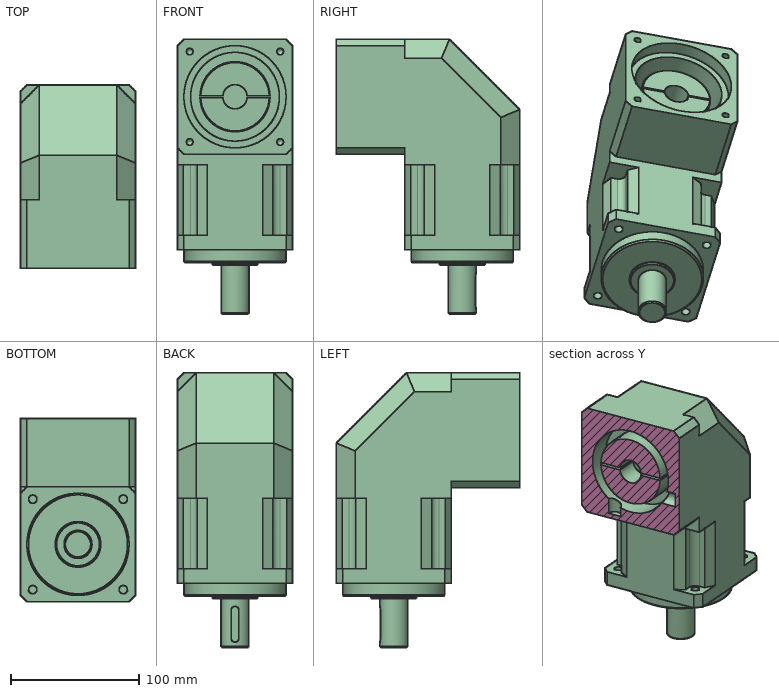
import cadquery as cq
import math


width = 90.0
half = width / 2
total_height = 214.8
shaft_drop = 50.3
housing_height = total_height - shaft_drop
back_slope = 55.0
edge_chamfer = 14.8
corner_chamfer = 5.2

bolt_spacing = 70.7

flange_thickness = 11.4
pocket_height = 55.2
pocket_reach = 23.5
pocket_wall = 15.5
pocket_lip = 4.7
pocket_radius = 5.5
pocket_overcut = 2.1
flange_hole_diameter = 6.5

pilot_diameter = 80.0
pilot_height = 10.3
pilot_chamfer = 1.3
seal_diameter = 35.7
seal_height = 2.0
seal_chamfer = 1.0
shaft_diameter = 22.0
shaft_chamfer = 1.0
key_width = 6.0
key_length = 28.0
key_depth = 3.5
key_end_gap = 4.3

input_length = 53.5
input_face_y = -half - input_length
input_axis_z = housing_height - half
register_diameter = 80.0
register_depth = 10.0
cavity_diameter = 69.4
cavity_depth = 43.0
hub_diameter = 54.8
hub_recess = 17.2
hub_chamfer = 0.6
hub_bore = 19.0
hub_slit = 1.5
tapped_hole_diameter = 5.2
tapped_hole_depth = 10.7
drill_point_angle = 118.0

access_diameter = 10.7
access_offset = 14.5
access_depth = 24.0
access_reach = 40.8


def input_disc(diameter, start_depth, end_depth):
    """Cylinder on the input axis between two depths below the input face."""
    return (
        cq.Workplane("XZ", origin=(0, input_face_y + start_depth, input_axis_z))
        .circle(diameter / 2)
        .extrude(-(end_depth - start_depth))
    )


def make_housing():
    """Square elbow with a sloped back and chamfered outer edges."""
    elbow = (
        cq.Workplane("YZ")
        .moveTo(-half, flange_thickness)
        .lineTo(half, flange_thickness)
        .lineTo(half, housing_height - back_slope)
        .lineTo(half - back_slope, housing_height)
        .lineTo(-half, housing_height)
        .close()
        .extrude(half, both=True)
    )
    outer_edges = elbow.faces("<X or >X").edges(">Y or >Z or >(0,1,1)")
    return outer_edges.chamfer(edge_chamfer)


def make_output_flange():
    return (
        cq.Workplane("XY")
        .rect(width, width)
        .extrude(flange_thickness)
        .edges("|Z")
        .chamfer(corner_chamfer)
    )


def make_corner_pocket():
    """Bolt pocket at the +X +Y corner, rounded at its inner corner."""
    outer = half + pocket_overcut
    reach = half - pocket_reach
    wall = half - pocket_wall
    lip = half - pocket_lip
    return (
        cq.Workplane("XY", origin=(0, 0, flange_thickness))
        .moveTo(reach, half)
        .lineTo(wall, lip)
        .lineTo(wall, wall + pocket_radius)
        .radiusArc((wall + pocket_radius, wall), -pocket_radius)
        .lineTo(lip, wall)
        .lineTo(half, reach)
        .lineTo(outer, reach)
        .lineTo(outer, outer)
        .lineTo(reach, outer)
        .close()
        .extrude(pocket_height)
    )


def make_input_block():
    return (
        cq.Workplane("XZ", origin=(0, -half, input_axis_z))
        .rect(width, width)
        .extrude(input_length)
        .edges("|Y")
        .chamfer(corner_chamfer)
    )


def make_output_shaft():
    """Pilot, seal boss and keyed shaft, stacked downward."""
    pilot = cq.Workplane("XY").circle(pilot_diameter / 2).extrude(-pilot_height)
    pilot = pilot.faces("<Z").chamfer(pilot_chamfer)
    seal_bottom = pilot_height + seal_height
    seal = cq.Workplane("XY").circle(seal_diameter / 2).extrude(-seal_bottom)
    seal = seal.faces("<Z").chamfer(seal_chamfer)
    shaft = cq.Workplane("XY").circle(shaft_diameter / 2).extrude(-shaft_drop)
    shaft = shaft.faces("<Z").chamfer(shaft_chamfer)
    key_center_z = -shaft_drop + key_end_gap + key_length / 2
    keyway = (
        cq.Workplane("XZ", origin=(0, shaft_diameter / 2 - key_depth, key_center_z))
        .slot2D(key_length, key_width, 90)
        .extrude(-shaft_diameter)
    )
    return pilot.union(seal).union(shaft.cut(keyway))


def make_clamp_hub():
    """Bored hub split in two halves by a slit along X."""
    hub = input_disc(hub_diameter, hub_recess, cavity_depth)
    hub = hub.faces("<Y").chamfer(hub_chamfer)
    hub = hub.cut(input_disc(hub_bore, hub_recess, cavity_depth))
    hub_length = cavity_depth - hub_recess
    hub_center_y = input_face_y + hub_recess + hub_length / 2
    slit = cq.Workplane("XY").box(hub_diameter, hub_length, hub_slit)
    return hub.cut(slit.translate((0, hub_center_y, input_axis_z)))


def make_access_holes():
    """One hole toward +X and one toward -Z, both off the input axis."""
    hole_y = input_face_y + access_depth
    side = (
        cq.Workplane("YZ", origin=(0, hole_y, input_axis_z - access_offset))
        .circle(access_diameter / 2)
        .extrude(access_reach)
    )
    bottom = (
        cq.Workplane("XY", origin=(-access_offset, hole_y, input_axis_z))
        .circle(access_diameter / 2)
        .extrude(-access_reach)
    )
    return side.union(bottom)


def make_tapped_holes():
    """Blind holes with drill points around the input register."""
    radius = tapped_hole_diameter / 2
    point_depth = tapped_hole_depth + radius / math.tan(math.radians(drill_point_angle / 2))
    drill = (
        cq.Workplane("XY")
        .lineTo(radius, 0)
        .lineTo(radius, tapped_hole_depth)
        .lineTo(0, point_depth)
        .close()
        .revolve(360, (0, 0, 0), (0, 1, 0))
        .translate((0, input_face_y, input_axis_z))
    )
    holes = cq.Workplane("XY")
    for x in (-bolt_spacing / 2, bolt_spacing / 2):
        for z in (-bolt_spacing / 2, bolt_spacing / 2):
            holes = holes.add(drill.translate((x, 0, z)))
    return holes.combine()


housing = make_housing()
corner_pocket = make_corner_pocket()
for quarter in range(4):
    housing = housing.cut(corner_pocket.rotate((0, 0, 0), (0, 0, 1), 90 * quarter))

flange_holes = (
    cq.Workplane("XY")
    .rect(bolt_spacing, bolt_spacing, forConstruction=True)
    .vertices()
    .circle(flange_hole_diameter / 2)
    .extrude(flange_thickness)
)

result = (
    housing.union(make_output_flange().cut(flange_holes))
    .union(make_input_block())
    .union(make_output_shaft())
    .cut(input_disc(register_diameter, 0, register_depth))
    .cut(input_disc(cavity_diameter, register_depth, cavity_depth))
    .cut(make_access_holes())
    .cut(make_tapped_holes())
    .union(make_clamp_hub())
)